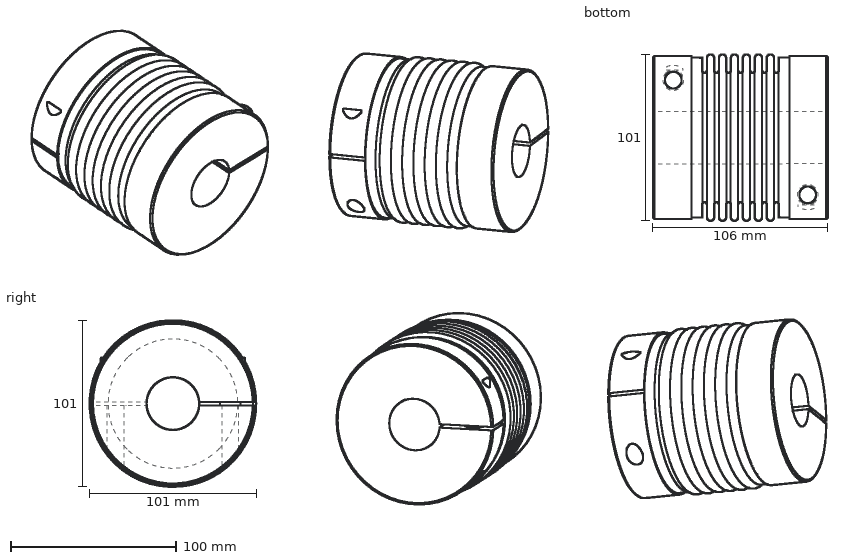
import cadquery as cq

total_length = 106.0
hub_diameter = 99.0
hub_length = 23.4
hub_chamfer = 1.1
bore_diameter = 31.8

collar_diameter = 97.1
collar_length = 6.5

bellows_diameter = 101.0
bellows_root_diameter = 78.4
crest_count = 6
crest_width = 4.6

slit_width = 2.1
screw_offset = 34.8
screw_from_end = 12.3
screw_head_diameter = 18.0
screw_head_top = 28.0
screw_head_height = 12.0
screw_head_fillet = 1.2
screw_diameter = 12.5
thread_hole_diameter = 10.2

half_length = total_length / 2
collar_end = half_length - hub_length
bellows_end = collar_end - collar_length
bellows_length = 2 * bellows_end
groove_width = (bellows_length - crest_count * crest_width) / (crest_count + 1)
hub_radius = hub_diameter / 2
screw_x = half_length - screw_from_end


def cylinder_along_x(diameter, start, length):
    return cq.Workplane("YZ").workplane(offset=start).circle(diameter / 2).extrude(length)


def vertical_cylinder(diameter, bottom, top):
    """Cylinder on the screw axis of the left hub."""
    plane = cq.Workplane("XY", origin=(-screw_x, -screw_offset, bottom))
    return plane.circle(diameter / 2).extrude(top - bottom)


def bellows():
    """Revolved wave of half-round crests and half-round grooves joined by flat sides."""
    crest_radius = crest_width / 2
    groove_radius = groove_width / 2
    crest_top = bellows_diameter / 2
    root = bellows_root_diameter / 2
    crest_side = crest_top - crest_radius
    groove_side = root + groove_radius

    x = -bellows_end
    profile = cq.Workplane("XY").moveTo(x, 0).lineTo(x, groove_side)
    for _ in range(crest_count):
        profile = profile.threePointArc((x + groove_radius, root), (x + groove_width, groove_side))
        x += groove_width
        profile = profile.lineTo(x, crest_side)
        profile = profile.threePointArc((x + crest_radius, crest_top), (x + crest_width, crest_side))
        x += crest_width
        profile = profile.lineTo(x, groove_side)
    profile = profile.threePointArc((x + groove_radius, root), (bellows_end, groove_side))
    return profile.lineTo(bellows_end, 0).close().revolve(360, (0, 0, 0), (1, 0, 0))


def clamp_hub():
    """Left clamping hub with its collar, bore, slit on the -Y side and clamping screw."""
    hub = cylinder_along_x(hub_diameter, -half_length, hub_length)
    hub = hub.faces("<X").chamfer(hub_chamfer)
    hub = hub.union(cylinder_along_x(collar_diameter, -collar_end, collar_length))
    hub = hub.cut(cylinder_along_x(bore_diameter, -half_length, hub_length + collar_length))

    slit = cq.Workplane("XY").box(hub_length, hub_radius, slit_width, centered=(False, False, True))
    hub = hub.cut(slit.translate((-half_length, -hub_radius, 0)))

    hub = hub.cut(vertical_cylinder(thread_hole_diameter, -hub_radius, 0))
    hub = hub.union(vertical_cylinder(screw_diameter, -slit_width / 2, slit_width / 2))

    head = vertical_cylinder(screw_head_diameter, screw_head_top - screw_head_height, screw_head_top)
    return hub.union(head.faces(">Z").edges().fillet(screw_head_fillet))


left_hub = clamp_hub()
right_hub = left_hub.rotate((0, 0, 0), (0, 0, 1), 180)
core = bellows().cut(cylinder_along_x(bore_diameter, -bellows_end, bellows_length))
result = core.union(left_hub).union(right_hub)